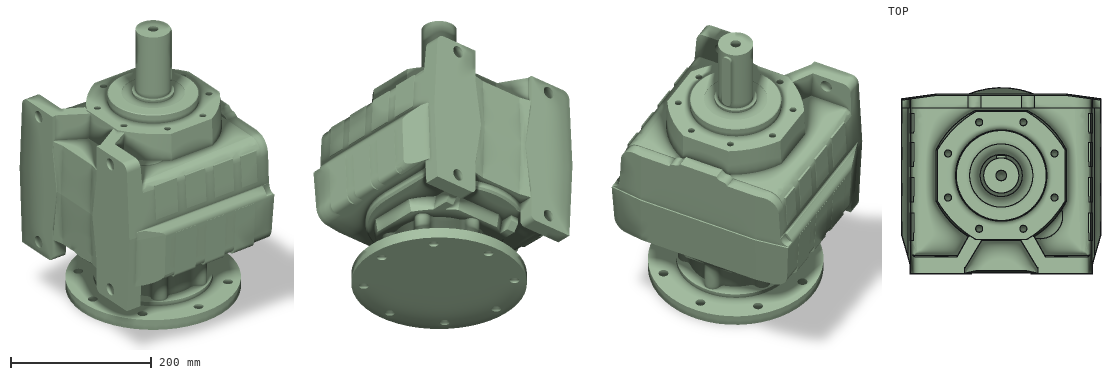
import cadquery as cq
import math

flange_top = 16.0
spigot_top = 22.5
neck_top = 69.0
lower_cover_top = 88.5
body_bottom = 100.0
ridge_z = 183.0
body_top = 261.0
foot_bottom = 64.0
foot_top = 302.0
cover_top = 304.0
pilot_top = 318.0
collar_top = 322.0
shaft_top = 422.0

flange_radius = 125.0
flange_hole_circle_radius = 107.5
flange_hole_diameter = 14.0
flange_hole_count = 8
spigot_radius = 85.0
neck_core_radius = 68.0
neck_boss_radius = 12.0
neck_boss_circle_radius = 70.0
neck_boss_count = 6
neck_blend = 8.0
pilot_radius = 65.0
pilot_chamfer = 1.0
seal_radius = 45.0
seal_recess = 0.5
collar_radius = 30.0
shaft_radius = 25.0
centre_hole_diameter = 15.0
centre_hole_depth = 36.0

key_width = 14.0
key_bottom = 327.0
key_length = 90.0
key_outer_y = 28.5

cover_top_half_width = 91.0
cover_base_half_width = 92.8
cover_top_corner_reach = 95.0
cover_base_corner_reach = 98.0
cover_flat_half_length = 36.3
cover_hole_circle_radius = 82.0
cover_hole_diameter = 10.0
cover_hole_depth = 25.0
cover_hole_count = 8
drill_point_angle = 118.0
corner_pad_centre = (55.0, -57.5)
corner_pad_radius = 32.5
corner_pad_height = 1.0
lower_cover_top_half_width = 88.0
lower_cover_bottom_half_width = 84.0
lower_cover_top_corner_reach = 93.0
lower_cover_bottom_corner_reach = 89.0

foot_front = -140.0
foot_back = -116.0
foot_root_back = -113.3
foot_root_z = 252.0
foot_end_half_width = 124.0
foot_ridge_half_width = 129.8
foot_taper_top = 291.0
foot_inner_x = 52.5
foot_waist_x = 42.0
foot_waist_rise = 67.0
foot_top_radius = 12.0
foot_inner_radius = 8.0
foot_hole_x = 85.0
foot_hole_heights = (82.0, 287.0)
foot_hole_diameter = 18.0

back_plate_front = 96.0
back_plate_top = 259.8
back_plate_radius = 24.0
back_centre_y = 114.0
back_side_y = 107.0
back_flat_half_width = 92.0
lower_back_top = 178.0
lower_back_step = 2.0
lower_back_lean = 4.0
rear_y = 120.0
shoulder_radius_back = 22.0
shoulder_radius_front = 12.0
tab_top = 270.4
tab_half_width = 29.0
tab_foot_half_width = 47.0

wing_half_width = 142.11
wing_bottom_half_width = 138.0
wing_crest_z = 180.5
wing_crest_corner = 0.24
wing_top_z = 191.2
wing_top_half_width = 133.0
wing_crest_radius = 11.7
wing_notch_radius = 12.0
wing_slant_start = -80.0
wing_slant_end = -128.0
plan_margin = 1.0
wing_slant_end_half_width = 129.3
wing_radius_back = 21.0
wing_radius_front = 8.0
wing_pad_proud = 0.3
wing_pad_top = 175.7
wing_pad_mid_radius = 8.0
wing_pad_radius_slope = 0.03
wing_pads = ((75.0, 40.0), (23.0, -11.7), (-28.5, -66.0))

side_pads = ((88.0, 60.5), (46.7, 12.5), (-2.8, -38.0), (-53.0, -92.5))
side_pad_bottom = 200.0
side_pad_mid_top = 252.0
side_pad_top_slope = -0.03
side_pad_proud = 0.9

panel_half_width = 34.3
panel_ridge_y = -138.5
panel_end_y = -135.0
panel_side_y = -139.0
arm_outer = ((46.7, -86.6), (63.0, -116.0))
arm_foot = ((62.5, -130.0), (52.5, -135.0))
arm_inner = ((52.5, -133.0), (27.7, -92.0))
arm_root = (25.0, -80.0)

bottom_plate_radius = 114.0
bottom_plate_centre_y = -14.0
bottom_plate_chamfer = 3.0
gusset_inner_x = 51.0
gusset_width = 13.0
gusset_front = -98.0
gusset_step_z = 80.0
gusset_bottom_y = -89.5
gusset_root_y = -60.0


def cylinder(radius, bottom, top):
    return cq.Workplane("XY").workplane(offset=bottom).circle(radius).extrude(top - bottom)


def polar(radius, count, start_angle):
    step = 360.0 / count
    angles = [math.radians(start_angle + step * i) for i in range(count)]
    return [(radius * math.cos(a), radius * math.sin(a)) for a in angles]


def rounded_wire(points, radii):
    """Closed wire through 3D points; radii maps a point's index to its corner radius."""
    wire = cq.Wire.makePolygon([cq.Vector(*p) for p in points], close=True)
    for index, radius in radii.items():
        corner = min(wire.Vertices(), key=lambda v: (v.Center() - cq.Vector(*points[index])).Length)
        wire = wire.fillet2D(radius, [corner])
    return wire


def loft(*wires):
    return cq.Workplane(obj=cq.Solid.makeLoft(list(wires), True))


def side_half_width(z):
    """Half width of the housing and feet, widest at the ridge."""
    taper = (foot_ridge_half_width - foot_end_half_width) / (foot_taper_top - ridge_z)
    return foot_ridge_half_width - taper * abs(z - ridge_z)


def block(x_size, y_low, y_high, z_low, z_high):
    """Box centred on X = 0 between the given Y and Z limits."""
    box = cq.Workplane("XY").box(x_size, y_high - y_low, z_high - z_low, centered=(True, False, False))
    return box.translate((0, y_low, z_low))


def upper_section(y, top, radius, proud=0.0):
    """Housing outline above the ridge at the given Y, with rounded shoulders."""
    low = side_half_width(ridge_z) + proud
    high = side_half_width(top) + proud
    points = [(-low, y, ridge_z), (-high, y, top), (high, y, top), (low, y, ridge_z)]
    radii = {1: radius, 2: radius} if radius else {}
    return rounded_wire(points, radii)


def wing_section(y, bottom_radius, proud=0.0):
    """Outline of the widened lower housing at the given Y; proud widens it for the wing pads."""
    crest = wing_half_width + wing_crest_corner + proud - wing_pad_proud
    half = [
        (wing_bottom_half_width + proud, body_bottom),
        (crest, wing_crest_z),
        (wing_top_half_width, wing_top_z),
    ]
    points = [(x, y, z) for x, z in half] + [(-x, y, z) for x, z in reversed(half)]
    radii = {0: bottom_radius, 5: bottom_radius, 1: wing_crest_radius, 4: wing_crest_radius}
    return rounded_wire(points, radii)


def plan_wire(z, back_shift, slant_inset=0.0):
    """Housing outline seen along Z: slanted front ends of the wings and a three-sided back."""
    half = [
        (wing_slant_end_half_width - slant_inset, wing_slant_end),
        (wing_half_width + plan_margin - slant_inset, wing_slant_start),
        (wing_half_width + plan_margin, back_side_y + back_shift),
        (back_flat_half_width, back_centre_y + back_shift),
    ]
    points = [(x, y, z) for x, y in half] + [(-x, y, z) for x, y in reversed(half)]
    return rounded_wire(points, {})


def plan_envelope():
    """Plan outline of the housing; its lower back stands proud and leans in towards the bottom."""
    wing_inset = wing_half_width - wing_bottom_half_width
    upper = loft(plan_wire(lower_back_top, 0), plan_wire(shaft_top, 0))
    lower = loft(
        plan_wire(body_bottom, lower_back_step - lower_back_lean, wing_inset),
        plan_wire(lower_back_top, lower_back_step),
    )
    return upper.union(lower)


def back_tab():
    """Raised middle of the back plate, with an S-shaped rise of two tangent arcs at each end."""
    rise_x = (tab_half_width + tab_foot_half_width) / 2
    rise_z = (back_plate_top + tab_top) / 2
    chord_x = (tab_foot_half_width - tab_half_width) / 2
    chord_z = (tab_top - back_plate_top) / 2
    chord = math.hypot(chord_x, chord_z)
    arc_sagitta = chord / 2 * math.tan(math.atan2(chord_z, chord_x) / 2)
    return (
        cq.Workplane("XZ", origin=(0, rear_y, 0))
        .moveTo(-tab_foot_half_width, ridge_z)
        .lineTo(tab_foot_half_width, ridge_z)
        .lineTo(tab_foot_half_width, back_plate_top)
        .sagittaArc((rise_x, rise_z), -arc_sagitta)
        .sagittaArc((tab_half_width, tab_top), arc_sagitta)
        .lineTo(-tab_half_width, tab_top)
        .sagittaArc((-rise_x, rise_z), arc_sagitta)
        .sagittaArc((-tab_foot_half_width, back_plate_top), -arc_sagitta)
        .close()
        .extrude(rear_y - back_plate_front)
    )


def shoulder_pads():
    """Flat pads that carry the housing sides up into the rounded shoulders."""
    full = loft(
        upper_section(foot_back, body_top, 0, side_pad_proud),
        upper_section(rear_y, body_top, 0, side_pad_proud),
    )
    pads = cq.Workplane("XY")
    for y_back, y_front in side_pads:
        top = side_pad_mid_top + side_pad_top_slope * (y_back + y_front) / 2
        span = block(2 * wing_half_width, y_front, y_back, side_pad_bottom, top)
        pads = pads.add(full.intersect(span))
    return pads.combine()


def housing():
    upper = loft(
        upper_section(foot_back, body_top, shoulder_radius_front),
        upper_section(back_plate_front, body_top, shoulder_radius_back),
    )
    plate = loft(
        upper_section(back_plate_front, back_plate_top, back_plate_radius),
        upper_section(rear_y, back_plate_top, back_plate_radius),
    )
    wings = loft(wing_section(wing_slant_end, wing_radius_front), wing_section(rear_y, wing_radius_back))
    for y_back, y_front in wing_pads:
        sections = [
            wing_section(y, wing_pad_mid_radius + wing_pad_radius_slope * y, wing_pad_proud)
            for y in (y_front, y_back)
        ]
        below_crest = block(2 * wing_half_width, y_front, y_back, body_bottom, wing_pad_top)
        wings = wings.union(loft(*sections).intersect(below_crest))
    for side in (-1, 1):
        notch = (
            cq.Workplane("XZ", origin=(side * wing_half_width, rear_y, wing_top_z))
            .circle(wing_notch_radius)
            .extrude(rear_y - back_plate_front)
        )
        wings = wings.cut(notch)
    body = upper.union(plate).union(wings).union(back_tab())
    return body.intersect(plan_envelope()).union(shoulder_pads())


def foot(side):
    """Mounting foot with a waisted inner edge; its back thickens down to the housing top."""
    points = [
        (foot_inner_x, foot_bottom),
        (foot_end_half_width, foot_bottom),
        (foot_ridge_half_width, ridge_z),
        (side_half_width(foot_top), foot_top),
        (foot_inner_x, foot_top),
        (foot_inner_x, ridge_z + foot_waist_rise),
        (foot_waist_x, ridge_z),
        (foot_inner_x, ridge_z - foot_waist_rise),
    ]
    outline = rounded_wire(
        [(side * x, foot_front, z) for x, z in points],
        {0: foot_inner_radius, 3: foot_top_radius},
    )
    plate = cq.Workplane(
        obj=cq.Solid.extrudeLinear(outline, [], cq.Vector(0, foot_root_back - foot_front, 0))
    )
    side_profile = (
        cq.Workplane("YZ")
        .polyline(
            [
                (foot_front, foot_bottom),
                (foot_back, foot_bottom),
                (foot_back, body_bottom),
                (foot_root_back, ridge_z),
                (foot_root_back, foot_root_z),
                (foot_back, foot_top),
                (foot_front, foot_top),
            ]
        )
        .close()
        .extrude(wing_half_width, both=True)
    )
    plate = plate.intersect(side_profile)
    for z in foot_hole_heights:
        hole = (
            cq.Workplane("XZ", origin=(side * foot_hole_x, foot_root_back, z))
            .circle(foot_hole_diameter / 2)
            .extrude(foot_root_back - foot_front)
        )
        plate = plate.cut(hole)
    return plate


def front_panel():
    """Housing front between the feet, crowned at the ridge."""
    def section(z, side_x, panel_y):
        half = [(side_x, foot_back), (side_x, panel_side_y), (panel_half_width, panel_y)]
        points = [(x, y, z) for x, y in half] + [(-x, y, z) for x, y in reversed(half)]
        return rounded_wire(points, {})

    return loft(
        section(body_bottom, foot_inner_x, panel_end_y),
        section(ridge_z, foot_waist_x, panel_ridge_y),
        section(body_top, foot_inner_x, panel_end_y),
    )


def arm(side):
    """Tie from a corner of the top cover to one foot."""
    points = [*arm_outer, *arm_foot, *arm_inner, arm_root]
    return (
        cq.Workplane("XY")
        .workplane(offset=body_top)
        .polyline([(side * x, y) for x, y in points])
        .close()
        .extrude(foot_top - body_top)
    )


def cover_wire(z, half_width, corner_reach):
    """Square outline whose corners are arcs reaching corner_reach along the diagonals."""
    flat = cover_flat_half_length
    diagonal = corner_reach * math.sqrt(0.5)
    outline = cq.Workplane("XY").workplane(offset=z).moveTo(half_width, -flat)
    for x, y in ((1, 1), (-1, -1)):
        outline = (
            outline.lineTo(x * half_width, y * flat)
            .threePointArc((x * diagonal, y * diagonal), (x * flat, y * half_width))
            .lineTo(-x * flat, y * half_width)
            .threePointArc((-x * diagonal, y * diagonal), (-x * half_width, y * flat))
        )
    return outline.close().wire().val()


def drilled_hole(x, y, top, diameter, depth):
    """Blind hole cutter: full diameter down to depth, then a drill point."""
    radius = diameter / 2
    tip = depth + radius / math.tan(math.radians(drill_point_angle / 2))
    profile = cq.Workplane("XZ").polyline([(0, 0), (radius, 0), (radius, -depth), (0, -tip)]).close()
    return profile.revolve(360, (0, 0, 0), (0, 1, 0)).translate((x, y, top))


def top_cover():
    body = loft(
        cover_wire(body_top, cover_base_half_width, cover_base_corner_reach),
        cover_wire(cover_top, cover_top_half_width, cover_top_corner_reach),
    )
    for x, y in polar(cover_hole_circle_radius, cover_hole_count, 180.0 / cover_hole_count):
        body = body.cut(drilled_hole(x, y, cover_top, cover_hole_diameter, cover_hole_depth))
    return body


def corner_pad():
    """Low round pad on the housing top, mostly under one corner of the top cover."""
    pad = cylinder(corner_pad_radius, body_top, body_top + corner_pad_height)
    return pad.translate((*corner_pad_centre, 0))


def gusset(side):
    """Short web beside the front of the lower cover."""
    return (
        cq.Workplane("YZ", origin=(side * gusset_inner_x, 0, 0))
        .polyline(
            [
                (gusset_root_y, lower_cover_top),
                (gusset_front, lower_cover_top),
                (gusset_front, gusset_step_z),
                (gusset_bottom_y, neck_top),
                (gusset_root_y, neck_top),
            ]
        )
        .close()
        .extrude(side * gusset_width)
    )


def bottom_covers():
    plate = cylinder(bottom_plate_radius, lower_cover_top, body_bottom)
    plate = plate.translate((0, bottom_plate_centre_y, 0))
    front = block(2 * bottom_plate_radius, foot_back, bottom_plate_centre_y, lower_cover_top, body_bottom)
    plate = plate.union(front).faces("<Z").chamfer(bottom_plate_chamfer)
    lower = loft(
        cover_wire(neck_top, lower_cover_bottom_half_width, lower_cover_bottom_corner_reach),
        cover_wire(lower_cover_top, lower_cover_top_half_width, lower_cover_top_corner_reach),
    )
    return plate.union(lower).union(gusset(-1)).union(gusset(1))


def neck():
    body = cylinder(neck_core_radius, spigot_top, neck_top)
    bosses = (
        cq.Workplane("XY")
        .workplane(offset=spigot_top)
        .pushPoints(polar(neck_boss_circle_radius, neck_boss_count, 90.0))
        .circle(neck_boss_radius)
        .extrude(neck_top - spigot_top)
    )
    return body.union(bosses).edges("|Z").fillet(neck_blend)


def flange():
    holes = (
        cq.Workplane("XY")
        .pushPoints(polar(flange_hole_circle_radius, flange_hole_count, 0.0))
        .circle(flange_hole_diameter / 2)
        .extrude(flange_top)
    )
    return cylinder(flange_radius, 0, flange_top).cut(holes).union(cylinder(spigot_radius, 0, spigot_top))


def shaft():
    pilot = cylinder(pilot_radius, body_top, pilot_top).faces(">Z").chamfer(pilot_chamfer)
    pilot = pilot.cut(cylinder(seal_radius, pilot_top - seal_recess, pilot_top))
    collar = cylinder(collar_radius, body_top, collar_top)
    rod = cylinder(shaft_radius, body_top, shaft_top)
    key = (
        cq.Workplane("XZ", origin=(0, key_outer_y, key_bottom + key_length / 2))
        .slot2D(key_length, key_width, 90)
        .extrude(key_outer_y)
    )
    hole = drilled_hole(0, 0, shaft_top, centre_hole_diameter, centre_hole_depth)
    return pilot.union(collar).union(rod).union(key).cut(hole)


result = housing().union(front_panel())
for side in (-1, 1):
    result = result.union(foot(side)).union(arm(side))
for piece in (bottom_covers(), neck(), flange(), top_cover(), corner_pad(), shaft()):
    result = result.union(piece)